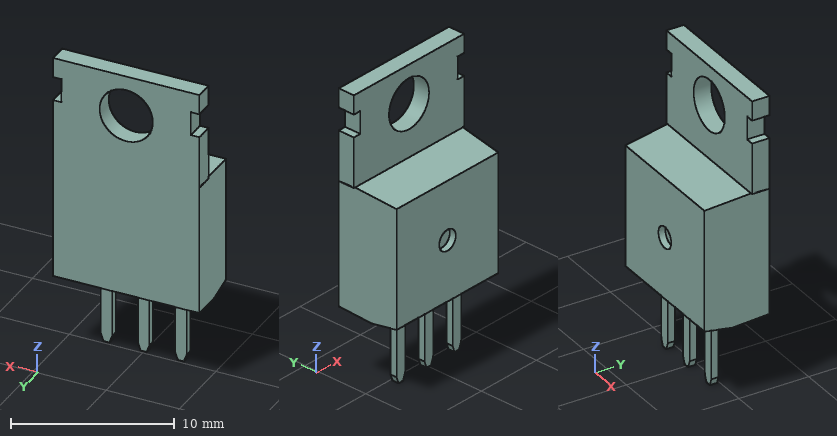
import cadquery as cq
import math

width = 10.0
depth = 4.45
height = 20.8

tab_thickness = 1.27
tab_length = 6.6
tab_hole_diameter = 3.62
tab_hole_from_top = 2.79
notch_depth = 0.58
notch_height = 1.62
notch_from_top = 1.37

body_top = height - tab_length
ridge_z = 5.0
ridge_depth = 2.52
side_draft_angle = 5
end_draft_angle = 7
side_draft = math.tan(math.radians(side_draft_angle))
end_draft = math.tan(math.radians(end_draft_angle))
dimple_diameter = 1.5
dimple_z = 9.59
dimple_depth = 0.5

lead_width = 0.8
lead_thickness = 0.52
lead_pitch = 2.54
lead_embed = 0.52
lead_back = 2.4
tip_width = 0.42
tip_height = 0.52


def make_tab():
    """Flat plate with a notch in each side edge and a through hole."""
    tab = cq.Workplane("XY").box(width, tab_thickness, tab_length, centered=(True, False, False))
    tab = tab.translate((0, -tab_thickness, body_top))
    notch_z = height - notch_from_top - notch_height / 2
    for side in (-1, 1):
        notch = cq.Workplane("XY").box(2 * notch_depth, 2 * tab_thickness, notch_height)
        tab = tab.cut(notch.translate((side * width / 2, -tab_thickness / 2, notch_z)))
    hole = (
        cq.Workplane("XZ")
        .center(0, height - tab_hole_from_top)
        .circle(tab_hole_diameter / 2)
        .extrude(tab_thickness)
    )
    return tab.cut(hole)


def make_body():
    """Block drafted on its sides and ends, with a ridge along the bottom and a round dimple in front."""
    end_profile = (
        cq.Workplane("YZ")
        .moveTo(0, body_top)
        .lineTo(-tab_thickness, body_top)
        .lineTo(-depth, body_top - (depth - tab_thickness) * end_draft)
        .lineTo(-depth, ridge_z + (depth - ridge_depth) * end_draft)
        .lineTo(-ridge_depth, ridge_z)
        .lineTo(0, ridge_z + ridge_depth * end_draft)
        .close()
        .extrude(width / 2, both=True)
    )
    front_half_width = width / 2 - depth * side_draft
    drafted_sides = (
        cq.Workplane("XY")
        .moveTo(-width / 2, 0)
        .lineTo(width / 2, 0)
        .lineTo(front_half_width, -depth)
        .lineTo(-front_half_width, -depth)
        .close()
        .extrude(height)
    )
    dimple = (
        cq.Workplane("XZ", origin=(0, -depth, dimple_z))
        .circle(dimple_diameter / 2)
        .extrude(-dimple_depth)
    )
    return end_profile.intersect(drafted_sides).cut(dimple)


def make_lead(x):
    """Flat lead with a tapered tip, reaching into the body."""
    lead_top = ridge_z + lead_embed
    return (
        cq.Workplane("XZ", origin=(x, -lead_back, 0))
        .moveTo(-lead_width / 2, lead_top)
        .lineTo(-lead_width / 2, tip_height)
        .lineTo(-tip_width / 2, 0)
        .lineTo(tip_width / 2, 0)
        .lineTo(lead_width / 2, tip_height)
        .lineTo(lead_width / 2, lead_top)
        .close()
        .extrude(lead_thickness)
    )


result = make_body().union(make_tab())
for position in (-1, 0, 1):
    result = result.union(make_lead(position * lead_pitch))